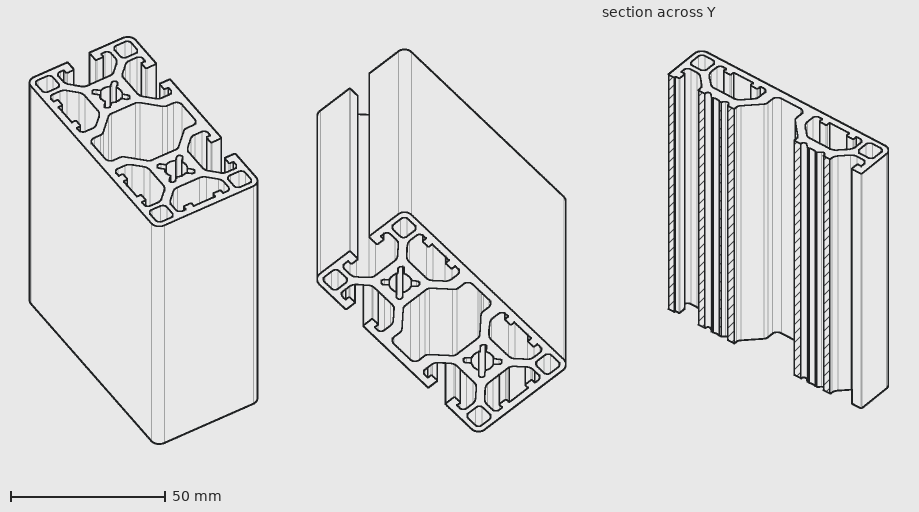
import cadquery as cq

cell = 40.0
length = 100.0
outer_radius = 3.0
half_cell = cell / 2
half_width = cell

skin = 2.5
slot_opening = 8.2
lip_width = 3.0
lip_depth = 4.1
lip_radius = 0.3
pocket_half_width = 10.0
pocket_floor = 7.5
web_offset = 2.1
pocket_corner_radius = 1.5
pocket_web_radius = 3.0

chamber_side = 6.3
chamber_wall = 1.9
chamber_radius = 1.5

bore_radius = 3.7
groove_width = 2.0
groove_length = 12.5

middle_neck_half_width = 6.0
middle_half_height = 17.1
middle_half_width = 12.5
middle_corner_radius = 2.0
middle_side_radius = 2.0
middle_neck_radius = 2.0

cell_centres = [-half_cell, half_cell]


def prism(points):
    return cq.Workplane("XY").polyline(points).close().extrude(length)


def box(size_x, size_y, x=0.0, y=0.0):
    return cq.Workplane("XY").center(x, y).rect(size_x, size_y).extrude(length)


def round_at(solid, points, radius):
    """Round the long edges that pass through the given XY points and their X mirrors."""
    for x, y in points:
        for side in (-1, 1):
            edge = cq.selectors.NearestToPointSelector((side * x, y, length / 2))
            solid = solid.edges("|Z").edges(edge).fillet(radius)
    return solid


def slot_pocket(is_open):
    """Cutter for the +Y face of a cell centred on the origin; it leaves the two lips standing."""
    ceiling = half_cell - skin
    ceiling_corner = (pocket_half_width, ceiling)
    web_top = (pocket_half_width, pocket_half_width + web_offset)
    web_bottom = (pocket_floor - web_offset, pocket_floor)
    right_side = [ceiling_corner, web_top, web_bottom]
    left_side = [(-x, y) for x, y in reversed(right_side)]
    pocket = prism(right_side + left_side)
    pocket = round_at(pocket, [ceiling_corner], pocket_corner_radius)
    pocket = round_at(pocket, [web_top, web_bottom], pocket_web_radius)

    lip_x = (slot_opening + lip_width) / 2
    lip_y = half_cell - lip_depth / 2
    if is_open:
        pocket = pocket.union(box(slot_opening + lip_width, lip_depth, 0, lip_y))
    for side in (-1, 1):
        lip = box(lip_width, lip_depth, side * lip_x, lip_y)
        pocket = pocket.cut(lip.edges("|Z").fillet(lip_radius))
    return pocket


def core_bore():
    bore = cq.Workplane("XY").circle(bore_radius).extrude(length)
    for angle in (45, -45):
        groove = cq.Workplane("XY").slot2D(groove_length, groove_width, angle).extrude(length)
        bore = bore.union(groove)
    return bore


def middle_chamber():
    web_sum = half_cell - web_offset
    side_corner = (middle_half_width, web_sum - middle_half_width)
    neck_corner = (middle_neck_half_width, web_sum - middle_neck_half_width)
    end_corner = (middle_neck_half_width, middle_half_height)
    quarter = [side_corner, neck_corner, end_corner]
    upper = quarter + [(-x, y) for x, y in reversed(quarter)]
    lower = [(-x, -y) for x, y in upper]
    chamber = prism(upper + lower)
    radii = [middle_side_radius, middle_neck_radius, middle_corner_radius]
    for (x, y), radius in zip(quarter, radii):
        chamber = round_at(chamber, [(x, y), (x, -y)], radius)
    return chamber


def place_pocket(pocket, centre_x, angle):
    return pocket.rotate((0, 0, 0), (0, 0, 1), angle).translate((centre_x, 0, 0))


profile = box(2 * half_width, cell).edges("|Z").fillet(outer_radius)
profile = profile.cut(middle_chamber())

open_pocket = slot_pocket(is_open=True)
closed_pocket = slot_pocket(is_open=False)
for centre_x in cell_centres:
    profile = profile.cut(place_pocket(open_pocket, centre_x, 0))
    profile = profile.cut(place_pocket(closed_pocket, centre_x, 180))
    profile = profile.cut(core_bore().translate((centre_x, 0, 0)))
profile = profile.cut(place_pocket(open_pocket, cell_centres[0], 90))
profile = profile.cut(place_pocket(closed_pocket, cell_centres[1], -90))

chamber_inset = chamber_wall + chamber_side / 2
for side_x in (-1, 1):
    for side_y in (-1, 1):
        chamber = box(chamber_side, chamber_side).edges("|Z").fillet(chamber_radius)
        centre = (side_x * (half_width - chamber_inset), side_y * (half_cell - chamber_inset), 0)
        profile = profile.cut(chamber.translate(centre))

result = profile